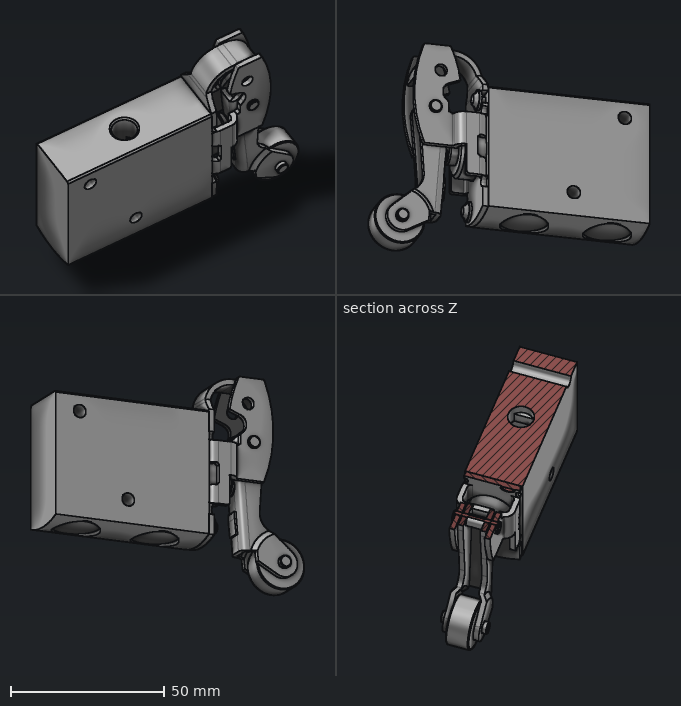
import cadquery as cq
import math


housing_width = 20.0
housing_length = 55.0
housing_height = 43.9
underside_rise = 1.75
edge_chamfer = 0.6

side_hole_diameter = 4.4
side_holes = [(-46.5, 37.8), (-29.1, 9.85)]

port_y = -27.4
port_diameter = 8.6
port_mouth_diameter = 9.8
port_depth = 9.2
port_well_width = 5.5
port_well_depth = 12.9

spotface_diameter = 15.9
spotface_top = 1.4
spotface_count = 2
spotface_spacing = 28.25
first_spotface_y = -15.1

plunger_z = 22.7
collar_diameter = 15.9
collar_length = 8.3
collar_chamfer = 1.0
plunger_diameter = 7.7
plunger_length = 11.4
plunger_chamfer = 0.55

screw_offset_x = 5.7
upper_screw_z = 40.1
lower_screw_z = 5.2
shank_diameter = 2.5
washer_diameter = 6.8
washer_thickness = 0.8
head_base_diameter = 5.9
head_tip_diameter = 3.1
head_height = 1.5

sheet = 1.9
plate_width = 19.3
bend_radius = 3.2
collar_hole_diameter = 16.5
wall_top = 34.05
wall_bottom = 12.5
wall_corner_radius = 0.8
shoulder_y = 11.1
shoulder_bottom = 22.7
shoulder_radius = 3.5
lower_wall_reach = 7.4
cheek_width = 14.2
cheek_top = 57.6
cheek_corner_radius = 0.7
cheek_foot_radius = 0.5
cheek_back_y = 21.0
cheek_back_middle = (24.3, 40.2)
cheek_front_top_y = 12.0
cheek_front_middle = (9.85, 51.5)
cheek_nose = (8.65, 46.0)
notch_start = (12.5, 44.5)
notch_middle = (14.6, 41.6)
notch_end = (13.8, 39.2)
cheek_front = (12.6, 38.0)
cheek_step_z = 34.8
cheek_step_y = 11.4
cheek_hole_y = 15.3
cheek_hole_z = 48.8
cheek_hole_diameter = 4.05
window_height = 7.7
window_reach = 3.6
window_corner = 0.8
relief_diameter = 3.9
upper_relief_diameter = 2.8
screw_slot_width = 4.4

strip_width = 9.85
strip_top = 57.05
strip_radius = 10.1
strip_lean = 15.0
strip_bend_radius = 14.7
strip_arc_y = 10.7
strip_flat = 2.4
taper_start = 44.35

lever_width = 9.8
fork_width = 12.5
web_corner_radius = 2.85
web_top_y = 11.0
web_bottom_y = 14.0
lever_bottom = -0.5
lever_back_y = 21.1
neck_start = (20.4, 12.9)
neck_middle = (21.2, 9.8)
neck_end = (23.4, 7.4)
heel_low = (19.3, -4.05)
heel_high_y = 18.9
lever_end_radius = 5.0
fork_end_radius = 4.9
fork_arc_start = 49.5
fork_arc_end = -121.5
joggle_inner_radius = 9.85
joggle_outer_radius = 11.6
bump_z = 21.5
bump_radius = 2.85
bump_tip_y = 11.6
bump_chamfer = 0.55
pad_width = 5.0
pad_top = 12.9
pad_bottom = 5.2
pad_ridge_z = 10.6
pad_upper_y = 12.4
pad_lower_y = 13.0
pad_depth = 1.2

pivot_y = 17.2
pivot_z = 35.8
pivot_diameter = 4.1
pin_length = 15.9
pin_chamfer = 0.3
roller_y = 28.4
roller_z = -3.5
roller_diameter = 17.1
roller_width = 8.0
roller_chamfer = 0.4
axle_diameter = 4.05

web_top_z = pivot_z + lever_end_radius * math.sqrt(2) - (pivot_y - web_top_y)
web_lean = math.atan((web_bottom_y - web_top_y) / (web_top_z - lever_bottom))
lever_reach = web_top_z - roller_z + joggle_outer_radius


def rod_along_x(diameter, length, y, z):
    """A cylinder centred on X = 0 with its axis along X."""
    return cq.Workplane("YZ", origin=(-length / 2, y, z)).circle(diameter / 2).extrude(length)


def rod_along_y(diameter, start, end, x, z):
    """A cylinder with its axis along Y, from Y = start to Y = end."""
    return cq.Workplane("XZ", origin=(x, start, z)).circle(diameter / 2).extrude(start - end)


def curved_bottom_outline(width, top):
    """An upright outline in XZ whose lower edge bulges down to Z = 0."""
    half = width / 2
    return (
        cq.Workplane("XZ")
        .moveTo(-half, underside_rise)
        .threePointArc((0, 0), (half, underside_rise))
        .lineTo(half, top)
        .lineTo(-half, top)
        .close()
    )


def make_screw(x, z):
    washer_end = sheet + washer_thickness
    shank = rod_along_y(shank_diameter, 0, sheet, x, z)
    washer = rod_along_y(washer_diameter, sheet, washer_end, x, z)
    head = (
        cq.Workplane("XZ", origin=(x, washer_end, z))
        .circle(head_base_diameter / 2)
        .workplane(offset=-head_height)
        .circle(head_tip_diameter / 2)
        .loft()
    )
    return shank.union(washer).union(head)


def make_port():
    """The stepped connection port in the top face, with a countersunk mouth and a flat-sided well."""
    mouth_depth = (port_mouth_diameter - port_diameter) / 2
    top = cq.Workplane("XY", origin=(0, port_y, housing_height))
    port = top.circle(port_diameter / 2).extrude(-port_depth)
    mouth = (
        top.circle(port_mouth_diameter / 2)
        .workplane(offset=-mouth_depth)
        .circle(port_diameter / 2)
        .loft()
    )
    well = top.circle(port_diameter / 2).extrude(-port_well_depth)
    well = well.intersect(top.rect(port_diameter, port_well_width).extrude(-port_well_depth))
    return port.union(mouth).union(well)


def make_housing():
    block = curved_bottom_outline(housing_width, housing_height).extrude(housing_length)
    block = block.faces(">Z").edges("|Y").chamfer(edge_chamfer)
    for y, z in side_holes:
        block = block.cut(rod_along_x(side_hole_diameter, housing_width, y, z))
    block = block.cut(make_port())
    for number in range(spotface_count):
        y = first_spotface_y - number * spotface_spacing
        block = block.cut(cq.Workplane("XY").center(0, y).circle(spotface_diameter / 2).extrude(spotface_top))

    collar = rod_along_y(collar_diameter, 0, collar_length, 0, plunger_z)
    collar = collar.faces(">Y").chamfer(collar_chamfer)
    plunger = rod_along_y(plunger_diameter, 0, plunger_length, 0, plunger_z)
    plunger = plunger.faces(">Y").chamfer(plunger_chamfer)
    block = block.union(collar).union(plunger)
    block = block.union(make_screw(-screw_offset_x, upper_screw_z))
    return block.union(make_screw(screw_offset_x, lower_screw_z))


def make_plate_with_strip():
    """The base plate, which narrows at the top into a strip curled over towards the lever."""
    lean = math.radians(strip_lean)
    arc_z = strip_top - strip_radius
    inner_radius = strip_radius - sheet

    def arc_point(radius, degrees):
        """A point of the first strip arc, measured from -Y towards +Z."""
        angle = math.radians(degrees)
        return (strip_arc_y - radius * math.cos(angle), arc_z + radius * math.sin(angle))

    outer_start = arc_point(strip_radius, strip_lean)
    inner_start = arc_point(inner_radius, strip_lean)
    outer_corner_z = outer_start[1] - outer_start[0] / math.tan(lean)
    inner_corner_z = outer_corner_z - sheet * math.tan(lean / 2)
    middle = (strip_lean + 90) / 2
    end_y = strip_arc_y + strip_flat
    diagonal = math.sqrt(0.5)

    profile = (
        cq.Workplane("YZ")
        .moveTo(0, 0)
        .lineTo(0, outer_corner_z)
        .lineTo(*outer_start)
        .threePointArc(arc_point(strip_radius, middle), (strip_arc_y, strip_top))
        .lineTo(end_y, strip_top)
        .threePointArc(
            (end_y + strip_radius * diagonal, arc_z + strip_radius * diagonal),
            (end_y + strip_radius, arc_z),
        )
        .lineTo(end_y + inner_radius, arc_z)
        .threePointArc(
            (end_y + inner_radius * diagonal, arc_z + inner_radius * diagonal),
            (end_y, strip_top - sheet),
        )
        .lineTo(strip_arc_y, strip_top - sheet)
        .threePointArc(arc_point(inner_radius, middle), inner_start)
        .lineTo(sheet, inner_corner_z)
        .lineTo(sheet, 0)
        .close()
        .extrude(plate_width / 2, both=True)
    )
    outer_bend = cq.selectors.NearestToPointSelector((0, 0, outer_corner_z))
    profile = profile.edges("|X").edges(outer_bend).fillet(strip_bend_radius)
    inner_bend = cq.selectors.NearestToPointSelector((0, sheet, inner_corner_z))
    profile = profile.edges("|X").edges(inner_bend).fillet(strip_bend_radius - sheet)

    strip_half = strip_width / 2
    plate_half = plate_width / 2
    taper_end = taper_start + plate_half - strip_half
    reach = end_y + strip_radius
    plate_area = curved_bottom_outline(plate_width, taper_start).extrude(-reach)
    taper_area = (
        cq.Workplane("XZ")
        .polyline(
            [
                (-plate_half, taper_start),
                (plate_half, taper_start),
                (strip_half, taper_end),
                (strip_half, strip_top),
                (-strip_half, strip_top),
                (-strip_half, taper_end),
            ]
        )
        .close()
        .extrude(-reach)
    )
    plate = profile.intersect(plate_area.union(taper_area))

    wall_edges = [
        (wall_bottom - relief_diameter / 2, relief_diameter),
        (wall_top + upper_relief_diameter / 2, upper_relief_diameter),
    ]
    for side in (-1, 1):
        for z, diameter in wall_edges:
            plate = plate.cut(rod_along_y(diameter, 0, sheet, side * plate_half, z))

    flat_width = housing_width - 2 * bend_radius
    wall_height = wall_top - wall_bottom
    middle_z = (wall_top + wall_bottom) / 2
    for side in (-1, 1):
        margin = cq.Workplane("XZ").center(side * (flat_width + bend_radius) / 2, middle_z)
        plate = plate.cut(margin.rect(bend_radius, wall_height).extrude(-sheet))
    return plate


def make_wall(side):
    """One bent side wall with its inward shoulder; side is -1 or 1 along X."""
    outer = housing_width / 2
    cheek_inner = cheek_width / 2 - sheet

    def points_in_plan(*points):
        return [(side * x, y) for x, y in points]

    bent = (
        cq.Workplane("XY", origin=(0, 0, wall_bottom))
        .polyline(
            points_in_plan(
                (cheek_inner, 0),
                (outer, 0),
                (outer, shoulder_y),
                (cheek_inner, shoulder_y),
                (cheek_inner, shoulder_y - sheet),
                (outer - sheet, shoulder_y - sheet),
                (outer - sheet, sheet),
                (cheek_inner, sheet),
            )
        )
        .close()
        .extrude(wall_top - wall_bottom)
    )
    corners = [
        (outer, 0, bend_radius),
        (outer - sheet, sheet, bend_radius - sheet),
        (outer, shoulder_y, shoulder_radius),
        (outer - sheet, shoulder_y - sheet, shoulder_radius - sheet),
    ]
    middle_z = (wall_top + wall_bottom) / 2
    for x, y, radius in corners:
        corner_edge = cq.selectors.NearestToPointSelector((side * x, y, middle_z))
        bent = bent.edges("|Z").edges(corner_edge).fillet(radius)

    below = (
        cq.Workplane("YZ", origin=(-housing_width / 2, 0, 0))
        .moveTo(shoulder_y, shoulder_bottom)
        .lineTo(lower_wall_reach, shoulder_bottom)
        .lineTo(lower_wall_reach, wall_bottom + wall_corner_radius)
        .radiusArc((lower_wall_reach - wall_corner_radius, wall_bottom), wall_corner_radius)
        .lineTo(shoulder_y, wall_bottom)
        .close()
        .extrude(housing_width)
    )
    return bent.cut(below)


def make_cheek(side):
    """The flat plate that carries one end of the pivot pin."""
    cheek = (
        cq.Workplane("YZ", origin=(side * (cheek_width / 2 - sheet / 2), 0, 0))
        .moveTo(shoulder_y - sheet, shoulder_bottom)
        .lineTo(cheek_back_y, shoulder_bottom)
        .threePointArc(cheek_back_middle, (cheek_back_y, cheek_top))
        .lineTo(cheek_front_top_y, cheek_top)
        .threePointArc(cheek_front_middle, cheek_nose)
        .lineTo(*notch_start)
        .threePointArc(notch_middle, notch_end)
        .lineTo(*cheek_front)
        .lineTo(cheek_front[0], cheek_step_z)
        .lineTo(cheek_step_y, wall_top)
        .lineTo(shoulder_y - sheet, wall_top)
        .close()
        .extrude(sheet / 2, both=True)
    )
    return cheek.faces(">Z").edges("|X").fillet(cheek_corner_radius)


def make_bracket():
    bracket = make_plate_with_strip()
    for side in (-1, 1):
        bracket = bracket.union(make_wall(side)).union(make_cheek(side))
        foot_z = (shoulder_bottom + wall_top) / 2
        foot = cq.selectors.NearestToPointSelector((side * cheek_width / 2, shoulder_y, foot_z))
        bracket = bracket.edges("|Z").edges(foot).fillet(cheek_foot_radius)
    bracket = bracket.cut(rod_along_x(pivot_diameter, cheek_width, pivot_y, pivot_z))
    bracket = bracket.cut(rod_along_x(cheek_hole_diameter, cheek_width, cheek_hole_y, cheek_hole_z))
    bracket = bracket.cut(rod_along_y(collar_hole_diameter, 0, bend_radius, 0, plunger_z))

    window = cq.Workplane("XY").box(housing_width, 2 * window_reach, window_height)
    window = window.edges("|X").chamfer(window_corner).translate((0, 0, plunger_z))
    bracket = bracket.cut(window)

    slot = cq.Workplane("XY").box(
        housing_width / 2 - screw_offset_x, sheet, screw_slot_width, centered=(False, False, True)
    ).translate((-housing_width / 2, 0, upper_screw_z))
    bracket = bracket.cut(slot)
    bracket = bracket.cut(rod_along_y(screw_slot_width, 0, sheet, -screw_offset_x, upper_screw_z))
    return bracket.cut(rod_along_y(shank_diameter, 0, sheet, screw_offset_x, lower_screw_z))


def make_lever_outline():
    """The side outline, whose upper end is cut at 45 degrees, tangent to a round end about the pivot."""
    end_offset = lever_end_radius * math.sqrt(0.5)

    def fork_point(degrees):
        angle = math.radians(degrees)
        return (
            roller_y + fork_end_radius * math.cos(angle),
            roller_z + fork_end_radius * math.sin(angle),
        )

    return (
        cq.Workplane("YZ")
        .moveTo(web_bottom_y, lever_bottom)
        .lineTo(web_top_y, web_top_z)
        .lineTo(pivot_y - end_offset, pivot_z + end_offset)
        .threePointArc(
            (pivot_y + end_offset, pivot_z + end_offset),
            (pivot_y + lever_end_radius, pivot_z),
        )
        .lineTo(lever_back_y, shoulder_bottom)
        .lineTo(*neck_start)
        .threePointArc(neck_middle, neck_end)
        .lineTo(*fork_point(fork_arc_start))
        .threePointArc(fork_point((fork_arc_start + fork_arc_end) / 2), fork_point(fork_arc_end))
        .lineTo(*heel_low)
        .lineTo(heel_high_y, lever_bottom)
        .close()
        .extrude(fork_width / 2, both=True)
    )


def make_flank(side):
    """One flank with its joggle and fork plate, turned about the roller axis; side is -1 or 1."""
    flank_outer = lever_width / 2
    flank_inner = flank_outer - sheet
    fork_outer = fork_width / 2
    fork_inner = fork_outer - sheet
    return (
        cq.Workplane("XY", origin=(0, roller_y, roller_z))
        .polyline(
            [
                (side * fork_inner, 0),
                (side * fork_outer, 0),
                (side * fork_outer, joggle_inner_radius),
                (side * flank_outer, joggle_outer_radius),
                (side * flank_outer, lever_reach),
                (side * flank_inner, lever_reach),
                (side * flank_inner, joggle_outer_radius),
                (side * fork_inner, joggle_inner_radius),
            ]
        )
        .close()
        .revolve(360, (0, 0, 0), (1, 0, 0))
    )


def make_web():
    """The leaning plate that joins the two flanks."""
    web_across = sheet / math.cos(web_lean)
    return (
        cq.Workplane("YZ")
        .polyline(
            [
                (web_bottom_y, lever_bottom),
                (web_top_y, web_top_z),
                (web_top_y + web_across, web_top_z),
                (web_bottom_y + web_across, lever_bottom),
            ]
        )
        .close()
        .extrude(lever_width / 2, both=True)
    )


def make_lever_envelope():
    """Everything within the rounded back of the channel, and the whole of the fork."""
    envelope = (
        cq.Workplane("XY")
        .box(lever_width, lever_reach, 2 * lever_reach, centered=(True, False, True))
        .faces("<Y")
        .edges("|Z")
        .fillet(web_corner_radius)
        .rotate((0, 0, 0), (1, 0, 0), math.degrees(web_lean))
        .translate((0, web_bottom_y, lever_bottom))
    )
    fork_area = rod_along_x(2 * joggle_outer_radius, fork_width, roller_y, roller_z)
    return envelope.union(fork_area)


def make_bump():
    """The round button on the web that faces the plunger."""
    bump_back = web_top_y + (web_top_z - bump_z) * math.tan(web_lean) + sheet / 2
    bump = rod_along_y(2 * bump_radius, bump_tip_y, bump_back, 0, bump_z)
    return bump.faces("<Y").chamfer(bump_chamfer)


def make_pad():
    """The raised pad low on the web."""
    return (
        cq.Workplane("YZ", origin=(-pad_width / 2, 0, 0))
        .polyline(
            [
                (pad_upper_y, pad_top),
                (pad_upper_y, pad_ridge_z),
                (pad_lower_y, pad_bottom),
                (pad_lower_y + pad_depth, pad_bottom),
                (pad_upper_y + pad_depth, pad_top),
            ]
        )
        .close()
        .extrude(pad_width)
    )


def make_lever():
    """A channel with its web towards the plunger, joggled outwards into a fork around the roller."""
    outline = make_lever_outline()
    lever = make_flank(-1).union(make_flank(1)).union(make_web()).intersect(outline)
    lever = lever.intersect(make_lever_envelope()).union(make_bump()).union(make_pad())
    lever = lever.cut(rod_along_x(pivot_diameter, lever_width, pivot_y, pivot_z))
    return lever.cut(rod_along_x(axle_diameter, fork_width, roller_y, roller_z))


def make_roller():
    """The roller with the axle it turns on."""
    tread = rod_along_x(roller_diameter, roller_width, roller_y, roller_z)
    tread = tread.faces("<X or >X").chamfer(roller_chamfer)
    axle = rod_along_x(axle_diameter, pin_length, roller_y, roller_z)
    axle = axle.faces("<X or >X").chamfer(pin_chamfer)
    return tread.union(axle)


def make_pivot_pin():
    pin = rod_along_x(pivot_diameter, pin_length, pivot_y, pivot_z)
    return pin.faces("<X or >X").chamfer(pin_chamfer)


housing = make_housing()
bracket = make_bracket()
lever = make_lever()
roller = make_roller()
pivot_pin = make_pivot_pin()

result = cq.Compound.makeCompound(
    [housing.val(), bracket.val(), lever.val(), roller.val(), pivot_pin.val()]
)